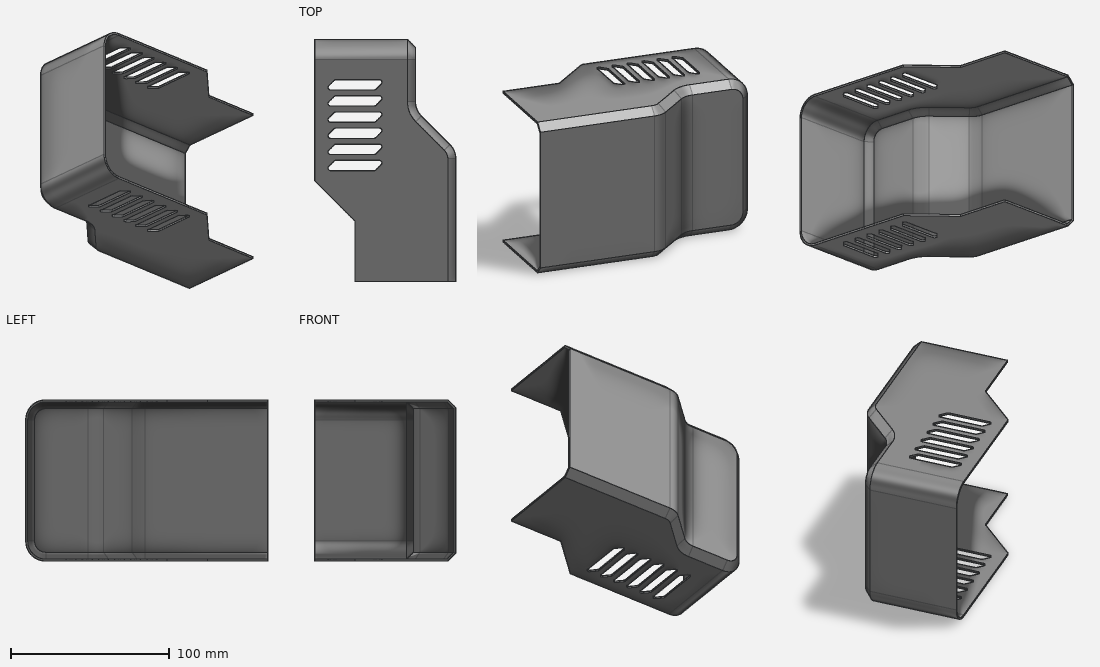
import cadquery as cq

WIDTH = 88.9
LENGTH = 152.4
HEIGHT = 101.6
WALL = 1.27

OFFSET = 25.4
FRONT_STEP_Y = 38.1
BACK_STEP_Y = 82.55
BEND_RADIUS = 12.7

END_FILLET = 12.7
SIDE_CHAMFER = 5.08

SLOT_COUNT = 6
SLOT_PITCH = 10.16
SLOT_HEIGHT = 6.35
SLOT_LENGTH = 31.75
SLOT_LEFT_X = 6.35
SLOT_END_DISTANCE = 25.4
REAR_SLOT_TOP_Y = LENGTH - SLOT_END_DISTANCE
SLOT_CORNER_RADIUS = 1.524


def make_envelope():
    """Solid outer shape of the hood, before it is hollowed out."""
    upper_width = WIDTH - OFFSET
    body = (
        cq.Workplane("XY")
        .workplane(offset=-HEIGHT / 2)
        .moveTo(OFFSET, 0)
        .lineTo(WIDTH, 0)
        .lineTo(WIDTH, BACK_STEP_Y)
        .lineTo(upper_width, BACK_STEP_Y + OFFSET)
        .lineTo(upper_width, LENGTH)
        .lineTo(0, LENGTH)
        .lineTo(0, FRONT_STEP_Y + OFFSET)
        .lineTo(OFFSET, FRONT_STEP_Y)
        .close()
        .extrude(HEIGHT)
    )
    convex_bend = cq.NearestToPointSelector((WIDTH, BACK_STEP_Y, 0))
    concave_bend = cq.NearestToPointSelector((upper_width, BACK_STEP_Y + OFFSET, 0))
    body = body.edges("|Z").edges(convex_bend).fillet(BEND_RADIUS)
    body = body.edges("|Z").edges(concave_bend).fillet(BEND_RADIUS)
    body = body.faces(">Y").edges("|X").fillet(END_FILLET)

    chain_start = cq.NearestToPointSelector((WIDTH, BACK_STEP_Y / 2, HEIGHT / 2))
    return body.edges(chain_start).chamfer(SIDE_CHAMFER)


def hollow_out(body):
    """Shell inwards, leaving the front end and the stepped left side open."""
    diagonal_middle = (OFFSET / 2, FRONT_STEP_Y + OFFSET / 2, 0)
    lower_left_middle = (OFFSET, FRONT_STEP_Y / 2, 0)
    openings = body.faces("<X or <Y")
    for point in (diagonal_middle, lower_left_middle):
        openings = openings.add(body.faces(cq.NearestToPointSelector(point)))
    return openings.shell(-WALL)


def make_slot(top_y):
    """Cutter for one 45 degree parallelogram slot with rounded corners."""
    bottom_y = top_y - SLOT_HEIGHT
    slot_right_x = SLOT_LEFT_X + SLOT_LENGTH
    slot = (
        cq.Workplane("XY")
        .workplane(offset=-HEIGHT / 2)
        .moveTo(SLOT_LEFT_X, bottom_y)
        .lineTo(slot_right_x, bottom_y)
        .lineTo(slot_right_x + SLOT_HEIGHT, top_y)
        .lineTo(SLOT_LEFT_X + SLOT_HEIGHT, top_y)
        .close()
        .extrude(HEIGHT)
    )
    return slot.edges("|Z").fillet(SLOT_CORNER_RADIUS)


hood = hollow_out(make_envelope())
for index in range(SLOT_COUNT):
    hood = hood.cut(make_slot(REAR_SLOT_TOP_Y - index * SLOT_PITCH))
result = hood